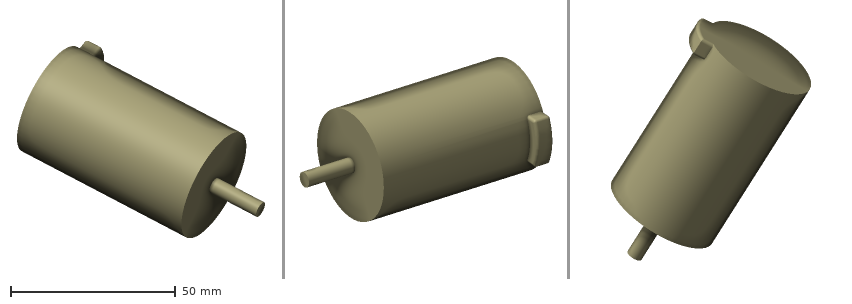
import cadquery as cq

total_length = 77.0
can_length = 60.0
can_diameter = 36.0
shaft_diameter = 5.0
can_radius = can_diameter / 2

tab_length = 6.0
tab_height = 16.0
tab_reach = 21.95
tab_crown_radius = 19.0
tab_fillet = 1.0


def make_can():
    return cq.Workplane("YZ").circle(can_radius).extrude(can_length)


def make_shaft():
    return cq.Workplane("YZ").circle(shaft_diameter / 2).extrude(total_length)


def make_tab():
    """Block with a crowned outer face, rounded at both ends and along its upper corner."""
    half_height = tab_height / 2
    crown_sag = tab_crown_radius - (tab_crown_radius**2 - half_height**2) ** 0.5
    corner_y = tab_reach - crown_sag
    tab = (
        cq.Workplane("YZ")
        .moveTo(0, -half_height)
        .lineTo(corner_y, -half_height)
        .threePointArc((tab_reach, 0), (corner_y, half_height))
        .lineTo(0, half_height)
        .close()
        .extrude(tab_length)
    )
    upper_corner = tab.edges("|X").edges(">Z").edges(">Y")
    end_outlines = tab.faces("<X or >X").edges("not(<Y)")
    return upper_corner.add(end_outlines).fillet(tab_fillet)


result = make_can().union(make_shaft()).union(make_tab())